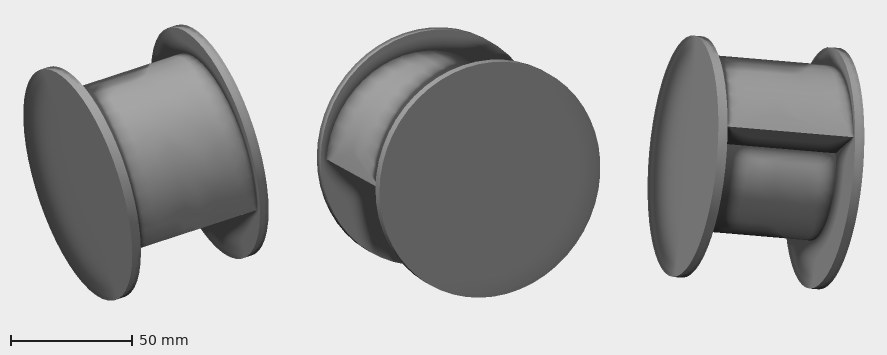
import cadquery as cq
import math

flange_diameter = 100.0
flange_thickness = 4.0
overall_length = 63.0

spiral_start_radius = 47.5
spiral_end_radius = 22.5

boss_thickness = 2.4

front_face_y = -overall_length / 2
core_front_y = front_face_y + flange_thickness
rear_face_y = overall_length / 2
rear_flange_y = rear_face_y - flange_thickness
core_rear_y = rear_flange_y - boss_thickness


def spiral_point(turn):
    """Point in the XZ plane on the spiral, where turn runs from 0 to 1."""
    radius = spiral_start_radius + (spiral_end_radius - spiral_start_radius) * turn
    angle = 2 * math.pi * turn
    return (radius * math.cos(angle), radius * math.sin(angle))


def section_plane(y):
    """Workplane across the axis at the given Y; its normal points to -Y."""
    return cq.Workplane("XZ", origin=(0, y, 0))


def make_disc(front_y):
    """Round flange plate that reaches from front_y toward +Y."""
    return section_plane(front_y).circle(flange_diameter / 2).extrude(-flange_thickness)


def make_spiral_block(front_y, rear_y):
    """Solid spiral block; a radial step joins the ends of the spiral on the +X side."""
    return (
        section_plane(front_y)
        .parametricCurve(spiral_point, makeWire=False)
        .moveTo(spiral_end_radius, 0)
        .lineTo(spiral_start_radius, 0)
        .wire()
        .extrude(front_y - rear_y)
    )


def make_front_flange():
    return make_disc(core_front_y - flange_thickness)


def make_core():
    return make_spiral_block(core_front_y, core_rear_y)


def make_rear_flange():
    boss = make_spiral_block(core_rear_y, rear_flange_y)
    return make_disc(rear_flange_y).union(boss)


front_flange = make_front_flange()
core = make_core()
rear_flange = make_rear_flange()

result = cq.Compound.makeCompound([front_flange.val(), core.val(), rear_flange.solids().val()])